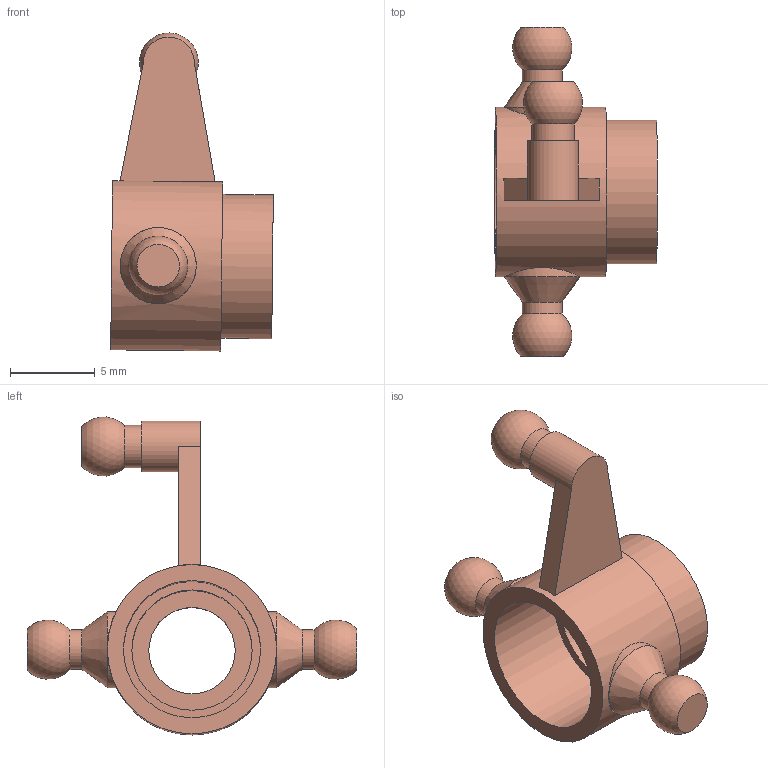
import cadquery as cq
import math

TILT_ANGLE = 0.62

BODY_DIAMETER = 10.0
BODY_LENGTH = 6.5
COLLAR_DIAMETER = 8.5
COLLAR_LENGTH = 3.0
STUD_SETBACK = 2.75
BODY_START = -STUD_SETBACK
SLEEVE_LENGTH = BODY_LENGTH + COLLAR_LENGTH

BEARING_BORE_DIAMETER = 8.1
BEARING_BORE_DEPTH = 5.0
RELIEF_BORE_DIAMETER = 7.1
RELIEF_BORE_DEPTH = 8.5
THROUGH_BORE_DIAMETER = 5.1

BALL_RADIUS = 1.75
SIDE_FLAT_OFFSET = 1.22
SIDE_BALL_Y = 8.5
SIDE_NECK_DIAMETER = 2.35
SIDE_NECK_START = 6.5
BOSS_DIAMETER = 4.5
BOSS_END = BODY_DIAMETER / 2
BOSS_ROOT = BEARING_BORE_DIAMETER / 2

ARM_X = BODY_START + BODY_LENGTH / 2
ARM_HEIGHT = 12.0
ARM_BASE_HALF_WIDTH = 2.8
ARM_FRONT = -0.5
ARM_THICKNESS = 1.3
ARM_ROOT_Z = 4.3
BARREL_RADIUS = 1.5
BARREL_LENGTH = 3.5
ARM_NECK_DIAMETER = 2.5
ARM_BALL_Y = 5.22
ARM_FLAT_OFFSET = 1.28


def x_cylinder(diameter, start, length):
    """Cylinder along X, on the sleeve axis."""
    return cq.Workplane("YZ", origin=(start, 0, 0)).circle(diameter / 2).extrude(length)


def y_cylinder(diameter, start, end, x=0, z=0):
    """Cylinder along Y between two Y positions."""
    plane = cq.Workplane("XZ", origin=(x, start, z))
    return plane.circle(diameter / 2).extrude(start - end)


def flat_ball(centre_y, flat_offset, x=0, z=0):
    """Ball whose +Y end is cut flat."""
    flat_radius = math.sqrt(BALL_RADIUS**2 - flat_offset**2)
    half_section = (
        cq.Workplane("XY")
        .moveTo(0, -BALL_RADIUS)
        .threePointArc((BALL_RADIUS, 0), (flat_radius, flat_offset))
        .lineTo(0, flat_offset)
        .close()
    )
    ball = half_section.revolve(360, (0, 0, 0), (0, 1, 0))
    return ball.translate((x, centre_y, z))


def sleeve():
    """Large body with a smaller collar, before boring."""
    body = x_cylinder(BODY_DIAMETER, BODY_START, BODY_LENGTH)
    return body.union(x_cylinder(COLLAR_DIAMETER, BODY_START, SLEEVE_LENGTH))


def bore():
    """Three stepped diameters, cut from the open end."""
    cutter = x_cylinder(BEARING_BORE_DIAMETER, BODY_START, BEARING_BORE_DEPTH)
    cutter = cutter.union(x_cylinder(RELIEF_BORE_DIAMETER, BODY_START, RELIEF_BORE_DEPTH))
    return cutter.union(x_cylinder(THROUGH_BORE_DIAMETER, BODY_START, SLEEVE_LENGTH))


def side_stud():
    """Boss, conical shoulder, neck and ball on the +Y side."""
    shoulder = (
        cq.Workplane("XY")
        .moveTo(0, BOSS_ROOT)
        .lineTo(BOSS_DIAMETER / 2, BOSS_ROOT)
        .lineTo(BOSS_DIAMETER / 2, BOSS_END)
        .lineTo(SIDE_NECK_DIAMETER / 2, SIDE_NECK_START)
        .lineTo(0, SIDE_NECK_START)
        .close()
        .revolve(360, (0, 0, 0), (0, 1, 0))
    )
    neck = y_cylinder(SIDE_NECK_DIAMETER, SIDE_NECK_START, SIDE_BALL_Y)
    return shoulder.union(neck).union(flat_ball(SIDE_BALL_Y, SIDE_FLAT_OFFSET))


def arm():
    """Plate tapering to the barrel's width at its axis, with a ball on the barrel's end."""
    sleeve_top = BODY_DIAMETER / 2
    taper = (ARM_BASE_HALF_WIDTH - BARREL_RADIUS) / (ARM_HEIGHT - sleeve_top)
    root_half_width = ARM_BASE_HALF_WIDTH + taper * (sleeve_top - ARM_ROOT_Z)
    plate = (
        cq.Workplane("XZ", origin=(ARM_X, ARM_FRONT, 0))
        .moveTo(-root_half_width, ARM_ROOT_Z)
        .lineTo(root_half_width, ARM_ROOT_Z)
        .lineTo(BARREL_RADIUS, ARM_HEIGHT)
        .lineTo(-BARREL_RADIUS, ARM_HEIGHT)
        .close()
        .extrude(-ARM_THICKNESS)
    )
    barrel_end = ARM_FRONT + BARREL_LENGTH
    barrel = y_cylinder(2 * BARREL_RADIUS, ARM_FRONT, barrel_end, ARM_X, ARM_HEIGHT)
    neck = y_cylinder(ARM_NECK_DIAMETER, barrel_end, ARM_BALL_Y, ARM_X, ARM_HEIGHT)
    ball = flat_ball(ARM_BALL_Y, ARM_FLAT_OFFSET, ARM_X, ARM_HEIGHT)
    return plate.union(barrel).union(neck).union(ball)


stud = side_stud()
part = sleeve().union(stud).union(stud.mirror("XZ")).union(arm()).cut(bore())
result = part.rotate((0, 0, 0), (0, 1, 0), TILT_ANGLE)